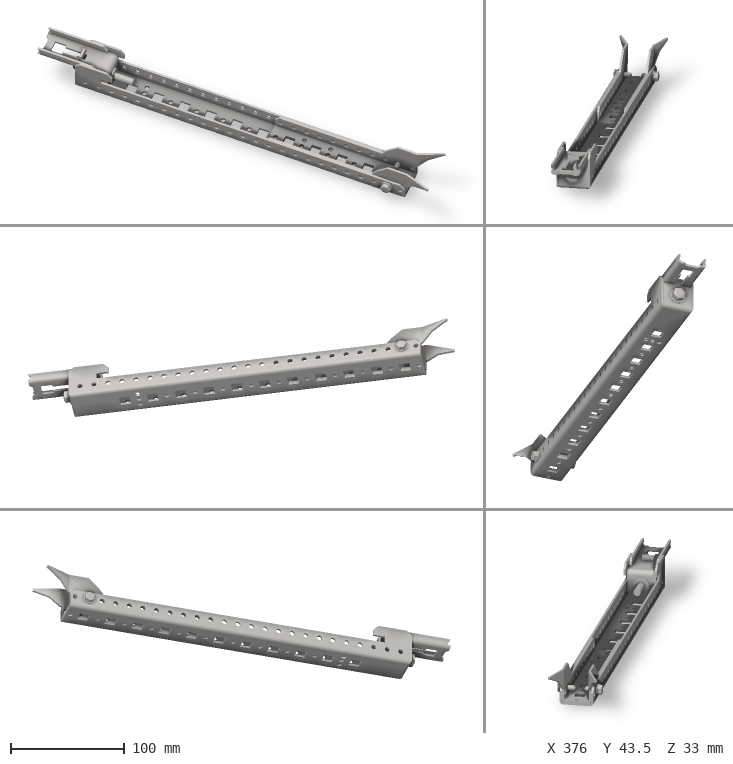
import cadquery as cq
import math

total_length = 376.0
total_height = 33.0
sheet = 2.0
bend_inner_radius = 1.0
bend_outer_radius = bend_inner_radius + sheet

rail_start = 36.5
rail_end = 351.0
rail_width = 30.0
rail_side_height = 17.0
corner_chamfer = 4.5
hook_end = 71.8
hook_notch_start = 61.3
hook_underside = 23.0
corner_slit = 0.23

first_hole_x = 46.5
last_hole_x = 347.0
hole_count = 25
hole_pitch = (last_hole_x - first_hole_x) / (hole_count - 1)
side_hole_diameter = 4.5
side_hole_height = 10.0
floor_hole_diameter = 4.0
cross_hole_diameter = 4.5
cross_hole_offset = hole_pitch / 2
square_size = 9.5
square_corner_radius = 0.5
rail_floor_first = 3
rail_cross_positions = [4]
gripper_floor_first = 14
gripper_cross_positions = [16, 18]

slider_end = 66.5
fold_inner_radius = 2.5
slider_floor = 24.0
slider_flange_end = 56.8
slider_nose_depth = 2.5
slider_nose_height = 3.8
nose_recess_mouth_width = 15.8
nose_recess_floor_width = 10.5
keyhole_start = 9.5
keyhole_step = 20.0
keyhole_end = 41.0
keyhole_width = 10.5
keyhole_neck_width = 6.0

tab_head_width = 10.0
tab_top = 31.0

gripper_start = 216.5
ramp_start = 319.0
ramp_knee_x = 324.0
ramp_knee_z = 23.5
ramp_end = 334.2
left_arm_reach = 23.0
right_arm_reach = 20.5
arm_length = 24.5
arm_root_z = 15.0
arm_knee_x = 361.3
arm_knee_z = 24.8
arm_tip_height = 2.3
arm_tip_flat = 2.0

bolt_height = 12.8
bolt_diameter = 6.5
bolt_end = 86.0
bolt_flange_diameter = 14.3
bolt_flange_thickness = 1.0
bolt_head_length = 6.8
bolt_hex_flats = 10.0
bolt_face_diameter = 6.8
bolt_face_chamfer = 1.0
bolt_hex_turn = -15
nut_thickness = 1.5

side_bolt_position = 23
side_bolt_tip_y = 4.0
side_bolt_flange_diameter = 10.0
side_bolt_flange_thickness = 1.0
side_bolt_head_length = 5.0
side_bolt_hex_flats = 8.0
side_bolt_face_diameter = 6.5
side_bolt_face_chamfer = 0.5
left_bolt_hex_turn = 30
right_bolt_hex_turn = 0
side_bolt_tip_chamfer = 1.5

rail_inner_width = rail_width - 2 * sheet
gripper_floor = sheet
slider_floor_top = slider_floor + sheet
axis_y = (right_arm_reach - left_arm_reach) / 2
side_bolt_x = first_hole_x + side_bolt_position * hole_pitch
right_arm_angle = math.asin((right_arm_reach - rail_inner_width / 2) / arm_length)
bend_x = total_length - arm_length * math.cos(right_arm_angle) - sheet * math.sin(right_arm_angle)


def block(x0, x1, width, z0, z1):
    """Box from x0 to x1 and z0 to z1, centred on Y = 0."""
    corner = cq.Workplane("XY", origin=(x0, 0, z0))
    return corner.box(x1 - x0, width, z1 - z0, centered=(False, True, False))


def side_profile(points, width):
    """Outline in the XZ plane, extruded evenly to both sides of Y = 0."""
    return cq.Workplane("XZ").polyline(points).close().extrude(width / 2, both=True)


def x_cylinder(diameter, x0, x1):
    """Cylinder on the axis of the adjusting bolt."""
    return cq.Workplane("YZ", origin=(x0, 0, bolt_height)).circle(diameter / 2).extrude(x1 - x0)


def hole_x(position):
    return first_hole_x + position * hole_pitch


def side_holes(first):
    """Row of round holes across both side walls."""
    places = [(hole_x(i), side_hole_height) for i in range(first, hole_count)]
    return cq.Workplane("XZ").pushPoints(places).circle(side_hole_diameter / 2).extrude(rail_width, both=True)


def floor_holes(first, cross_positions, floor_z):
    """Square holes at odd positions and round holes at even ones, with extra round holes beside some."""
    squares = [(hole_x(i), 0) for i in range(first, hole_count) if i % 2 == 1]
    rounds = [(hole_x(i), 0) for i in range(first, hole_count) if i % 2 == 0]
    extras = [(hole_x(i), side * cross_hole_offset) for i in cross_positions for side in (-1, 1)]
    plane = cq.Workplane("XY").workplane(offset=floor_z)
    square_cutters = plane.pushPoints(squares).rect(square_size, square_size).extrude(sheet)
    cutters = square_cutters.edges("|Z").fillet(square_corner_radius)
    cutters = cutters.union(plane.pushPoints(rounds).circle(floor_hole_diameter / 2).extrude(sheet))
    return cutters.union(plane.pushPoints(extras).circle(cross_hole_diameter / 2).extrude(sheet))


def make_rail():
    """Channel with two hooks and a closed end whose tab passes up through the slider."""
    profile = [
        (rail_start, 0),
        (rail_end, 0),
        (rail_end, rail_side_height - corner_chamfer),
        (rail_end - corner_chamfer, rail_side_height),
        (hook_notch_start, rail_side_height),
        (hook_notch_start, hook_underside),
        (hook_end, hook_underside),
        (hook_end, total_height - corner_chamfer),
        (hook_end - corner_chamfer, total_height),
        (rail_start + corner_chamfer, total_height),
        (rail_start, total_height - corner_chamfer),
    ]
    body = side_profile(profile, rail_width)
    body = body.faces("<Z").edges("not(>X)").fillet(bend_outer_radius)
    trough = block(rail_start + sheet, total_length, rail_inner_width, sheet, total_height)
    trough = trough.faces("<Z").edges("not(>X)").fillet(bend_inner_radius)
    body = body.cut(trough)

    wall_end = rail_start + sheet
    body = body.cut(block(rail_start, wall_end, rail_inner_width, slider_floor, total_height))
    for side in (-1, 1):
        slit = block(rail_start, rail_start + bend_outer_radius, corner_slit, 0, total_height)
        body = body.cut(slit.translate((0, side * (rail_inner_width - corner_slit) / 2, 0)))
    tab_neck = block(rail_start, wall_end, keyhole_neck_width, slider_floor, slider_floor_top)
    tab_head = block(rail_start, wall_end, tab_head_width, slider_floor_top, tab_top)
    body = body.union(tab_neck).union(tab_head)

    body = body.cut(side_holes(0))
    body = body.cut(floor_holes(rail_floor_first, rail_cross_positions, 0))
    return body.cut(x_cylinder(bolt_diameter, rail_start, wall_end))


def make_slider():
    """Channel between the hooks, with a wall folded down at its inner end."""
    wall_start = slider_end - sheet
    wall_bottom = bolt_height - bolt_flange_diameter / 2
    flange_bottom = slider_floor + bend_outer_radius
    flange_profile = [
        (0, slider_floor),
        (slider_flange_end, slider_floor),
        (slider_flange_end, total_height - corner_chamfer),
        (slider_flange_end - corner_chamfer, total_height),
        (0, total_height),
    ]
    body = side_profile(flange_profile, rail_inner_width)
    body = body.faces("<Z").edges("|X").fillet(bend_outer_radius)
    trough = block(0, slider_end, rail_inner_width - 2 * sheet, slider_floor_top, total_height)
    body = body.cut(trough.faces("<Z").edges("|X").fillet(bend_inner_radius))

    fold = block(slider_flange_end, slider_end, rail_inner_width, wall_bottom, slider_floor_top)
    fold = fold.faces(">X").edges(">Z").fillet(fold_inner_radius + sheet)
    under = block(slider_flange_end, wall_start, rail_inner_width, wall_bottom, slider_floor)
    under = under.faces(">X").edges(">Z").fillet(fold_inner_radius)
    body = body.union(fold.cut(under))

    undercut = [
        (0, total_height),
        (slider_nose_depth, total_height - slider_nose_height),
        (slider_nose_depth, flange_bottom),
        (0, flange_bottom),
    ]
    body = body.cut(side_profile(undercut, rail_width))

    body = body.cut(block(keyhole_start, keyhole_step, keyhole_width, slider_floor, slider_floor_top))
    body = body.cut(block(keyhole_step, keyhole_end, keyhole_neck_width, slider_floor, slider_floor_top))
    recess = [
        (0, -nose_recess_mouth_width / 2),
        (slider_nose_depth, -nose_recess_floor_width / 2),
        (slider_nose_depth, nose_recess_floor_width / 2),
        (0, nose_recess_mouth_width / 2),
    ]
    body = body.cut(cq.Workplane("XY").polyline(recess).close().extrude(total_height))
    return body.cut(x_cylinder(bolt_diameter, wall_start, slider_end))


def make_arm(reach):
    """Flared end of the gripper's wall on the +Y side, with its tip at Y = reach."""
    root_y = rail_inner_width / 2
    angle = math.asin((reach - root_y) / arm_length)
    tip_x = bend_x + arm_length * math.cos(angle)
    inner_bend_x = bend_x + sheet * math.tan(angle / 2)
    inner_tip_x = tip_x + sheet * math.sin(angle)
    plan = [
        (ramp_end, root_y),
        (bend_x, root_y),
        (tip_x, reach),
        (inner_tip_x, reach - sheet * math.cos(angle)),
        (inner_bend_x, root_y - sheet),
        (ramp_end, root_y - sheet),
    ]
    strip = cq.Workplane("XY").polyline(plan).close().extrude(total_height)
    outer_bend = cq.NearestToPointSelector((bend_x, root_y, total_height / 2))
    strip = strip.edges(outer_bend).fillet(bend_inner_radius)
    inner_bend = cq.NearestToPointSelector((inner_bend_x, root_y - sheet, total_height / 2))
    strip = strip.edges(inner_bend).fillet(bend_outer_radius)
    outline = [
        (ramp_end, arm_root_z),
        (inner_bend_x, arm_root_z),
        (arm_knee_x, arm_knee_z),
        (inner_tip_x - arm_tip_flat, total_height - arm_tip_height),
        (inner_tip_x, total_height - arm_tip_height),
        (inner_tip_x, total_height),
        (ramp_end, total_height),
    ]
    return strip.intersect(side_profile(outline, 2 * reach))


def make_gripper():
    """Channel nested in the rail, rising at its far end into two flared arms."""
    profile = [
        (gripper_start, gripper_floor),
        (rail_end, gripper_floor),
        (rail_end, total_height),
        (ramp_end, total_height),
        (ramp_knee_x, ramp_knee_z),
        (ramp_start, rail_side_height),
        (gripper_start + corner_chamfer, rail_side_height),
        (gripper_start, rail_side_height - corner_chamfer),
    ]
    body = side_profile(profile, rail_inner_width)
    body = body.faces("<Z").edges("|X").fillet(bend_outer_radius)
    inner_width = rail_inner_width - 2 * sheet
    trough = block(gripper_start, rail_end, inner_width, gripper_floor + sheet, total_height)
    body = body.cut(trough.faces("<Z").edges("|X").fillet(bend_inner_radius))
    body = body.union(make_arm(left_arm_reach)).union(make_arm(right_arm_reach).mirror("XZ"))
    body = body.cut(side_holes(gripper_floor_first))
    return body.cut(floor_holes(gripper_floor_first, gripper_cross_positions, gripper_floor))


def flanged_bolt(shank, length, flange, flange_thickness, flats, head_length, face, face_chamfer, turn):
    """Flanged hexagon bolt along Z: head above Z = 0, shank below, hexagon turned by `turn` degrees."""
    hex_corners = flats / math.cos(math.pi / 6)
    base = cq.Workplane("XY")
    envelope = base.circle(hex_corners / 2).extrude(head_length)
    envelope = envelope.faces(">Z").chamfer(face_chamfer, (hex_corners - face) / 2)
    hexagon = base.transformed(rotate=(0, 0, turn)).polygon(6, hex_corners).extrude(head_length)
    head = hexagon.intersect(envelope)
    stem = base.circle(shank / 2).extrude(-length)
    return head.union(base.circle(flange / 2).extrude(flange_thickness)).union(stem)


def make_adjusting_bolt():
    """Bolt through the end walls of the rail and the slider, with its head towards -X."""
    bolt = flanged_bolt(
        bolt_diameter,
        bolt_end - rail_start,
        bolt_flange_diameter,
        bolt_flange_thickness,
        bolt_hex_flats,
        bolt_head_length,
        bolt_face_diameter,
        bolt_face_chamfer,
        bolt_hex_turn,
    )
    return bolt.rotate((0, 0, 0), (0, 1, 0), -90).translate((rail_start, 0, bolt_height))


def make_nut():
    """Flat round nut against the slider's folded wall."""
    disc = x_cylinder(bolt_flange_diameter, slider_end, slider_end + nut_thickness)
    return disc.cut(x_cylinder(bolt_diameter, slider_end, slider_end + nut_thickness))


def make_side_bolt(side, hex_turn):
    """Bolt through rail and gripper, with its head towards +Y (side = 1) or -Y (side = -1)."""
    bolt = flanged_bolt(
        side_hole_diameter,
        rail_width / 2 - side_bolt_tip_y,
        side_bolt_flange_diameter,
        side_bolt_flange_thickness,
        side_bolt_hex_flats,
        side_bolt_head_length,
        side_bolt_face_diameter,
        side_bolt_face_chamfer,
        hex_turn,
    )
    bolt = bolt.faces("<Z").chamfer(side_bolt_tip_chamfer)
    bolt = bolt.rotate((0, 0, 0), (1, 0, 0), -90 * side)
    return bolt.translate((side_bolt_x, side * rail_width / 2, side_hole_height))


rail = make_rail()
slider = make_slider()
gripper = make_gripper()
adjusting_bolt = make_adjusting_bolt()
nut = make_nut()
bolt_sides = [(1, left_bolt_hex_turn), (-1, right_bolt_hex_turn)]
side_bolts = [make_side_bolt(side, hex_turn) for side, hex_turn in bolt_sides]

bodies = [rail, slider, gripper, adjusting_bolt, nut, *side_bolts]
result = cq.Compound.makeCompound([body.translate((0, axis_y, 0)).val() for body in bodies])